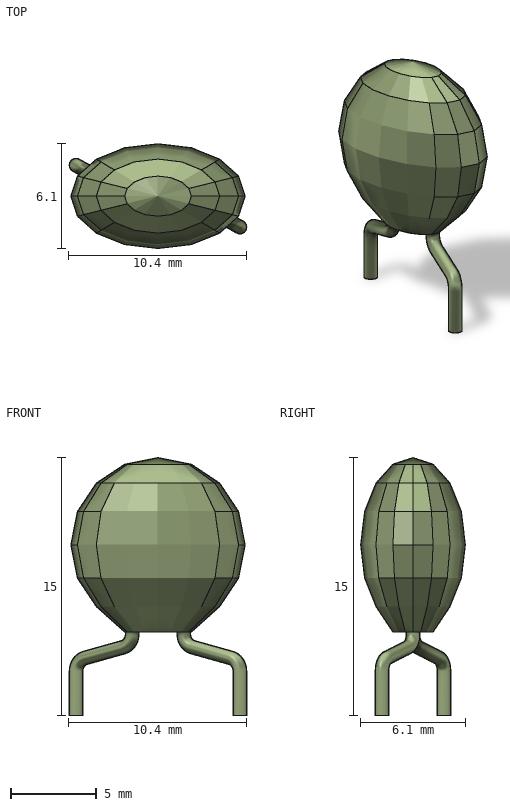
import cadquery as cq
import math

overall_height = 15.04
overall_width = 10.35

body_diameter = 10.17
body_thickness = 6.1
body_radius = body_diameter / 2
body_center_z = overall_height - body_radius
body_bottom_z = body_center_z - body_radius
segments = 16
ring_step = 360.0 / segments
ring_count = segments // 2 - 1

wire_diameter = 0.8
bend_radius = wire_diameter
lead_top_x = 1.5
foot_x = (overall_width - wire_diameter) / 2
foot_y = 1.8
upper_corner_z = 4.14
lower_corner_z = 3.22


def body_ring(index):
    """Elliptical polygon of body corners, numbered downward from the top pole."""
    polar = math.radians(index * ring_step)
    z = body_bottom_z if index == ring_count else body_center_z + body_radius * math.cos(polar)
    corners = []
    for segment in range(segments):
        turn = 2 * math.pi * segment / segments
        x = body_radius * math.sin(polar) * math.cos(turn)
        y = body_thickness / 2 * math.sin(polar) * math.sin(turn)
        corners.append(cq.Vector(x, y, z))
    return corners


def flat_face(corners):
    return cq.Face.makeFromWires(cq.Wire.makePolygon(corners, close=True))


def make_body():
    rings = [body_ring(index) for index in range(1, ring_count + 1)]
    top_pole = cq.Vector(0, 0, overall_height)
    faces = [flat_face(rings[-1])]
    for this in range(segments):
        after = (this + 1) % segments
        faces.append(flat_face([top_pole, rings[0][this], rings[0][after]]))
        for upper, lower in zip(rings, rings[1:]):
            faces.append(flat_face([upper[this], lower[this], lower[after]]))
            faces.append(flat_face([upper[this], lower[after], upper[after]]))
    return cq.Solid.makeSolid(cq.Shell.makeShell(faces))


def make_lead(side):
    """Wire lead with two bends; side is +1 for the +X, -Y foot and -1 for the -X, +Y foot."""
    start = cq.Vector(side * lead_top_x, 0, body_bottom_z)
    upper_corner = cq.Vector(side * lead_top_x, 0, upper_corner_z)
    lower_corner = cq.Vector(side * foot_x, -side * foot_y, lower_corner_z)
    foot = cq.Vector(side * foot_x, -side * foot_y, 0)

    down = cq.Vector(0, 0, -1)
    slope = (lower_corner - upper_corner).normalized()
    bend_angle = down.getAngle(slope)
    tangent_length = bend_radius * math.tan(bend_angle / 2)
    corner_to_arc = bend_radius / math.cos(bend_angle / 2) - bend_radius
    inward = (slope - down).normalized()

    upper_bend_start = upper_corner - down * tangent_length
    upper_bend_middle = upper_corner + inward * corner_to_arc
    upper_bend_end = upper_corner + slope * tangent_length
    lower_bend_start = lower_corner - slope * tangent_length
    lower_bend_middle = lower_corner - inward * corner_to_arc
    lower_bend_end = lower_corner + down * tangent_length

    centreline = cq.Wire.assembleEdges([
        cq.Edge.makeLine(start, upper_bend_start),
        cq.Edge.makeThreePointArc(upper_bend_start, upper_bend_middle, upper_bend_end),
        cq.Edge.makeLine(upper_bend_end, lower_bend_start),
        cq.Edge.makeThreePointArc(lower_bend_start, lower_bend_middle, lower_bend_end),
        cq.Edge.makeLine(lower_bend_end, foot),
    ])
    section = cq.Workplane(cq.Plane(start, (1, 0, 0), down)).circle(wire_diameter / 2)
    return section.sweep(centreline).val()


body = make_body()
leads = [make_lead(side) for side in (1, -1)]

result = cq.Compound.makeCompound([body, *leads])